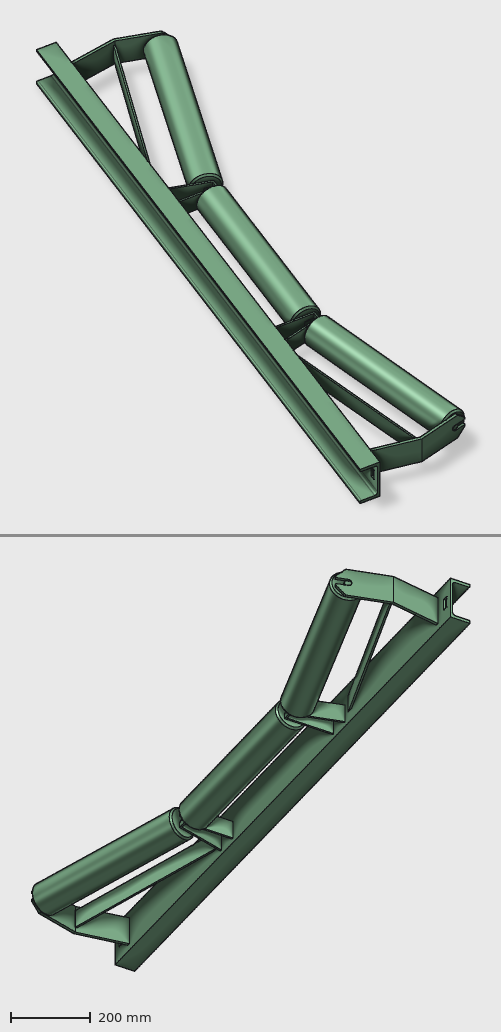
import cadquery as cq
import math

BEAM_LENGTH = 1700.0
FLANGE_WIDTH = 56.0
FLANGE_THICKNESS = 9.0
FLANGE_GAP = 102.0
WEB_THICKNESS = 6.0
ROOT_RADIUS = 8.0
TOE_RADIUS = 4.2
MOUNT_SLOT_WIDTH = 15.0
MOUNT_SLOT_HEIGHT = 32.0
MOUNT_SLOT_END_DISTANCE = 27.0

ROLLER_RADIUS = 45.0
ROLLER_LENGTH = 498.0
ROLLER_CHAMFER = 5.0
SHAFT_RADIUS = 9.4
SHAFT_FLAT_THICKNESS = 14.0
SHAFT_OVERHANG = 8.0
TROUGH_ANGLE = 15.0
LEAN_ANGLE = 2.3
CENTRE_ROLLER_Y = 172.0
CENTRE_ROLLER_Z = -20.0
WING_ROLLER_X = 529.0
WING_ROLLER_Y = 243.0

END_BAR_WIDTH = 80.0
END_BAR_THICKNESS = 8.0
END_FOOT_X = 782.0
END_BEND_X = 805.0
END_BEND_Y = 197.0
END_TIP_Y = 340.0
END_TIP_CHAMFER = 25.0
INNER_BAR_WIDTH = 51.0
INNER_BAR_THICKNESS = 5.0
INNER_TOP_Y = 192.0
CENTRE_LEG_X = 255.0
WING_LEG_X = 277.0

BRACE_WIDTH = 51.0
BRACE_THICKNESS = 5.0
BRACE_FOOT_X = 340.0

beam_height = FLANGE_GAP + 2 * FLANGE_THICKNESS
trough_slope = math.tan(math.radians(TROUGH_ANGLE))
wing_roller_z = CENTRE_ROLLER_Z + ROLLER_LENGTH / 2 * math.sin(math.radians(LEAN_ANGLE))


def make_beam():
    hollow_depth = FLANGE_WIDTH - WEB_THICKNESS
    hollow = (
        cq.Workplane("XY")
        .box(BEAM_LENGTH, hollow_depth, FLANGE_GAP)
        .edges("|X and >Y")
        .fillet(ROOT_RADIUS)
        .translate((0, hollow_depth / 2, 0))
    )
    block = cq.Workplane("XY").box(BEAM_LENGTH, FLANGE_WIDTH, beam_height)
    beam = block.translate((0, FLANGE_WIDTH / 2, 0)).cut(hollow)
    for toe_z in (-FLANGE_GAP / 2, FLANGE_GAP / 2):
        toe_edge = cq.selectors.NearestToPointSelector((0, 0, toe_z))
        beam = beam.edges("|X").edges(toe_edge).fillet(TOE_RADIUS)
    slot_x = BEAM_LENGTH / 2 - MOUNT_SLOT_END_DISTANCE
    mount_slots = (
        cq.Workplane("XZ")
        .pushPoints([(-slot_x, 0), (slot_x, 0)])
        .rect(MOUNT_SLOT_WIDTH, MOUNT_SLOT_HEIGHT)
        .extrude(-FLANGE_WIDTH)
    )
    return beam.cut(mount_slots)


def make_roller():
    """Roller along X, centred on the origin, with flattened shaft ends."""
    tube = (
        cq.Workplane("YZ", origin=(-ROLLER_LENGTH / 2, 0, 0))
        .circle(ROLLER_RADIUS)
        .extrude(ROLLER_LENGTH)
        .faces("<X or >X")
        .chamfer(ROLLER_CHAMFER)
    )
    shaft_length = ROLLER_LENGTH + 2 * SHAFT_OVERHANG
    shaft = cq.Workplane("YZ", origin=(-shaft_length / 2, 0, 0)).circle(SHAFT_RADIUS).extrude(shaft_length)
    flats = cq.Workplane("XY").box(shaft_length, 2 * SHAFT_RADIUS, SHAFT_FLAT_THICKNESS)
    return tube.union(shaft.intersect(flats))


def make_shaft_slot():
    """Cutter for a pair of shaft slots, open toward +Y, whose round bottoms seat the shaft ends."""
    slot_span = ROLLER_LENGTH + 4 * SHAFT_OVERHANG
    return (
        cq.Workplane("YZ", origin=(-slot_span / 2, 0, 0))
        .moveTo(ROLLER_RADIUS, SHAFT_RADIUS)
        .lineTo(0, SHAFT_RADIUS)
        .threePointArc((-SHAFT_RADIUS, 0), (0, -SHAFT_RADIUS))
        .lineTo(ROLLER_RADIUS, -SHAFT_RADIUS)
        .close()
        .extrude(slot_span)
    )


def place_at_centre(body):
    return body.translate((0, CENTRE_ROLLER_Y, CENTRE_ROLLER_Z))


def place_on_left_wing(body):
    return (
        body.rotate((0, 0, 0), (0, 1, 0), LEAN_ANGLE)
        .rotate((0, 0, 0), (0, 0, 1), -TROUGH_ANGLE)
        .translate((-WING_ROLLER_X, WING_ROLLER_Y, wing_roller_z))
    )


def make_bar(path, thickness, width, middle_z=0):
    """Flat bar on edge that follows a path in XY with mitred bends, kept only behind the beam."""
    steps = [(end[0] - start[0], end[1] - start[1]) for start, end in zip(path, path[1:])]
    normals = [(-dy / math.hypot(dx, dy), dx / math.hypot(dx, dy)) for dx, dy in steps]
    left_side = []
    right_side = []
    for (x, y), before, after in zip(path, normals[:1] + normals, normals + normals[-1:]):
        reach = thickness / 2 / (1 + before[0] * after[0] + before[1] * after[1])
        mitre_x = reach * (before[0] + after[0])
        mitre_y = reach * (before[1] + after[1])
        left_side.append((x + mitre_x, y + mitre_y))
        right_side.append((x - mitre_x, y - mitre_y))
    bar = (
        cq.Workplane("XY", origin=(0, 0, middle_z - width / 2))
        .polyline(left_side + right_side[::-1])
        .close()
        .extrude(width)
    )
    beam_space = cq.Workplane("XY").box(BEAM_LENGTH, 2 * FLANGE_WIDTH, beam_height)
    return bar.cut(beam_space)


def make_end_bracket():
    """Left end bracket: leans outward from the beam, then bends in along the end of the wing roller."""
    foot_slope = (END_BEND_X - END_FOOT_X) / (END_BEND_Y - FLANGE_WIDTH)
    path = [
        (-END_BEND_X + foot_slope * END_BEND_Y, 0),
        (-END_BEND_X, END_BEND_Y),
        (-END_BEND_X + trough_slope * (END_TIP_Y - END_BEND_Y), END_TIP_Y),
    ]
    bar = make_bar(path, END_BAR_THICKNESS, END_BAR_WIDTH)
    bar = bar.faces(">Y").edges("<Z or >Z").chamfer(END_TIP_CHAMFER)
    return bar.cut(place_on_left_wing(make_shaft_slot()))


def make_inner_bracket():
    """Left inner bracket: one leg carries the wing roller and the other the centre roller."""
    path = [
        (-WING_LEG_X - trough_slope * INNER_TOP_Y, 0),
        (-WING_LEG_X, INNER_TOP_Y),
        (-CENTRE_LEG_X, INNER_TOP_Y),
        (-CENTRE_LEG_X, 0),
    ]
    bar = make_bar(path, INNER_BAR_THICKNESS, INNER_BAR_WIDTH, CENTRE_ROLLER_Z)
    shaft_slot = make_shaft_slot()
    return bar.cut(place_at_centre(shaft_slot)).cut(place_on_left_wing(shaft_slot))


def make_brace(end_bracket):
    """Left brace, trimmed to the inner face of the end bracket."""
    run_per_drop = (END_BEND_X - BRACE_FOOT_X) / (END_BEND_Y - FLANGE_WIDTH)
    path = [
        (-END_BEND_X, END_BEND_Y),
        (-END_BEND_X + run_per_drop * END_BEND_Y, 0),
    ]
    return make_bar(path, BRACE_THICKNESS, BRACE_WIDTH).cut(end_bracket)


beam = make_beam()
centre_roller = place_at_centre(make_roller())
wing_roller = place_on_left_wing(make_roller())
end_bracket = make_end_bracket()
inner_bracket = make_inner_bracket()
brace = make_brace(end_bracket)

solids = [beam.val(), centre_roller.val()]
for body in (wing_roller, end_bracket, inner_bracket, brace):
    solids.append(body.val())
    solids.append(body.mirror("YZ").val())

result = cq.Compound.makeCompound(solids)